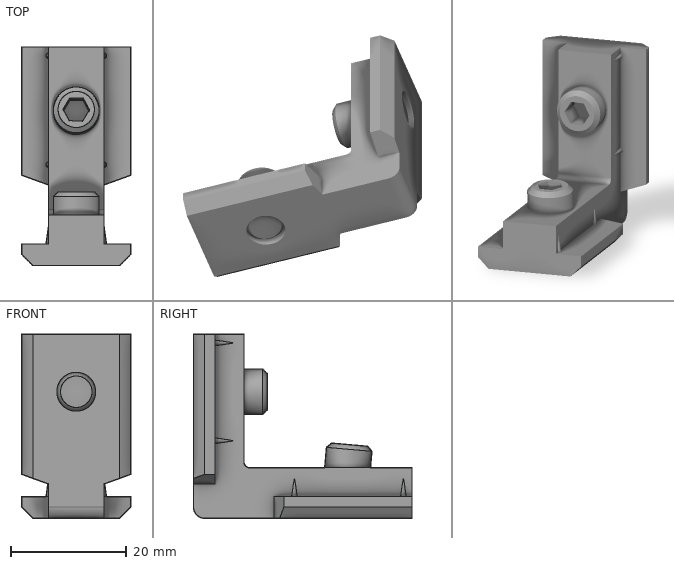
import cadquery as cq
import math

floor_length = 38.0
wall_length = 32.0
leg_thickness = 8.8
web_width = 9.7
flange_width = 19.0
flange_thickness = 3.8
flange_chamfer = 1.98
flange_end_angle = 20.0
floor_flange_start = 14.02
wall_flange_start = 5.95
outer_corner_radius = 2.0
inner_corner_radius = 1.0

spike_radius = 0.5
spike_height = 3.6
spike_inset = 0.08
spike_end_distance = 1.52
floor_spike_spacing = 18.92
wall_spike_spacing = 17.0

screw_diameter = 7.98
screw_length = 12.0
screw_head_chamfer = 0.85
screw_tip_diameter = 5.47
screw_protrusion = 4.03
socket_across_flats = 4.0
socket_depth = 5.0
socket_turn = -2.0
hole_diameter = 6.75
floor_screw_position = 26.8
wall_screw_position = 22.0
floor_screw_tilt = 5.0

floor_frame = cq.Location(cq.Plane.XY())
wall_frame = cq.Location(cq.Plane(origin=(0, 0, 0), xDir=(-1, 0, 0), normal=(0, 1, 0)))


def corner_web():
    """L-shaped web that joins both legs, rounded inside and outside the corner."""
    outline = [
        (0, 0),
        (floor_length, 0),
        (floor_length, leg_thickness),
        (leg_thickness, leg_thickness),
        (leg_thickness, wall_length),
        (0, wall_length),
    ]
    web = cq.Workplane("YZ").polyline(outline).close().extrude(web_width / 2, both=True)
    web = web.edges(cq.NearestToPointSelector((0, 0, 0))).fillet(outer_corner_radius)
    inner_corner = (0, leg_thickness, leg_thickness)
    return web.edges(cq.NearestToPointSelector(inner_corner)).fillet(inner_corner_radius)


def flange(length, start):
    """Flange in the leg frame, tapered towards the corner and chamfered along its outer sides."""
    half_web = web_width / 2
    half_flange = flange_width / 2
    taper = (half_flange - half_web) * math.tan(math.radians(flange_end_angle))
    outline = [
        (-half_web, start),
        (half_web, start),
        (half_flange, start + taper),
        (half_flange, length),
        (-half_flange, length),
        (-half_flange, start + taper),
    ]
    plate = cq.Workplane("XY").polyline(outline).close().extrude(flange_thickness)
    long_sides = plate.faces("<Z").edges("|Y")
    return long_sides.chamfer(flange_chamfer)


def spikes(length, spacing):
    """Two pairs of cones in the leg frame, rising from the flange beside the web."""
    outer_row = length - spike_end_distance
    side = web_width / 2 - spike_inset
    cone = cq.Solid.makeCone(spike_radius, 0, spike_height)
    places = [(x, y) for x in (-side, side) for y in (outer_row, outer_row - spacing)]
    return [cone.translate(cq.Vector(x, y, flange_thickness)) for x, y in places]


def screw_blank():
    """Set screw without its socket, standing on its tip at the origin."""
    radius = screw_diameter / 2
    tip_radius = screw_tip_diameter / 2
    profile = [
        (0, 0),
        (tip_radius, 0),
        (radius, radius - tip_radius),
        (radius, screw_length - screw_head_chamfer),
        (radius - screw_head_chamfer, screw_length),
        (0, screw_length),
    ]
    return cq.Workplane("XZ").polyline(profile).close().revolve(360, (0, 0), (0, 1))


def set_screw():
    """Set screw with a hexagon socket in its head."""
    socket_across_corners = socket_across_flats / math.cos(math.radians(30))
    socket = (
        cq.Workplane("XY")
        .workplane(offset=screw_length - socket_depth)
        .transformed(rotate=(0, 0, socket_turn))
        .polygon(6, socket_across_corners)
        .extrude(socket_depth)
    )
    return screw_blank().cut(socket)


def core_hole():
    """Cutter on the screw axis, long enough to leave the outer face of the leg."""
    overshoot = leg_thickness
    length = overshoot + screw_length / 2
    return cq.Workplane("XY").workplane(offset=-overshoot).circle(hole_diameter / 2).extrude(length)


def place_on_leg(item, position, tilt, frame):
    """Move an item from the screw tip to its place on a leg, tilted where it leaves the inner face."""
    tip_below_face = screw_length - screw_protrusion
    at_face = item.val().translate(cq.Vector(0, 0, -tip_below_face))
    tilted = at_face.rotate(cq.Vector(0, 0, 0), cq.Vector(1, 0, 0), -tilt)
    return tilted.translate(cq.Vector(0, position, leg_thickness)).moved(frame)


bracket = corner_web()
for length, start, spacing, frame in (
    (floor_length, floor_flange_start, floor_spike_spacing, floor_frame),
    (wall_length, wall_flange_start, wall_spike_spacing, wall_frame),
):
    bracket = bracket.union(flange(length, start).val().moved(frame))
    for spike in spikes(length, spacing):
        bracket = bracket.union(spike.moved(frame))

screws = []
for position, tilt, frame in (
    (floor_screw_position, floor_screw_tilt, floor_frame),
    (wall_screw_position, 0, wall_frame),
):
    for cutter in (core_hole(), screw_blank()):
        bracket = bracket.cut(place_on_leg(cutter, position, tilt, frame))
    screws.append(place_on_leg(set_screw(), position, tilt, frame))

result = cq.Compound.makeCompound([bracket.val(), *screws])